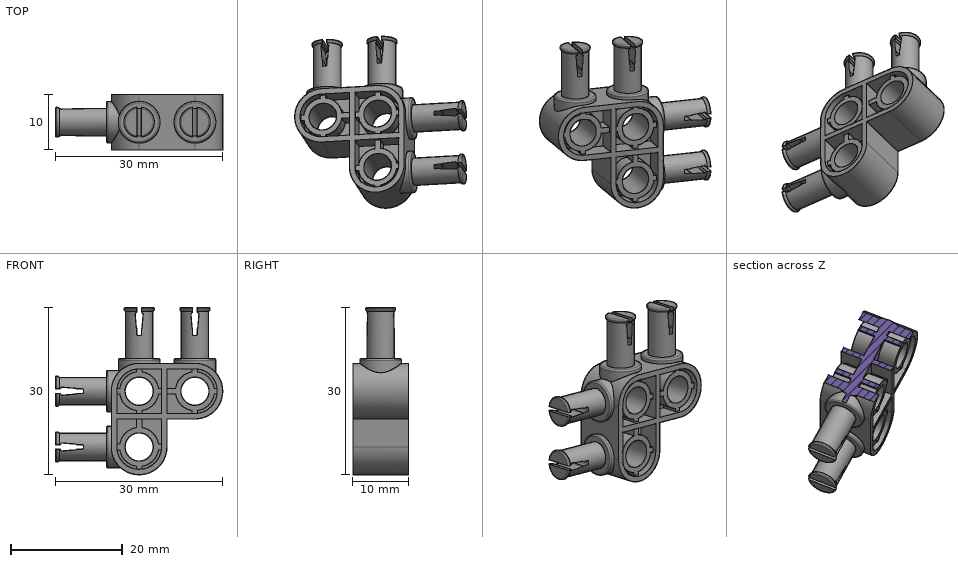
import cadquery as cq

pitch = 10.0
body_depth = 10.0
body_radius = pitch / 2
wall = 1.0
web_thickness = 2.0

hole_diameter = 5.0
sleeve_diameter = 7.0
sleeve_recess = 0.8
rib_width = 1.0

pin_reach = 15.0
pin_diameter = 4.95
collar_diameter = 7.5
collar_height = 0.85
collar_root = 2.0
collar_round = 0.3
lip_diameter = 5.45
lip_top_round = 0.25
lip_lower_round = 0.5

slot_width = 0.8
slot_throat_width = 1.4
slot_taper_width = 1.0
slot_depth = 5.0
slot_mouth_depth = 0.8
slot_throat_depth = 1.1
slot_taper_depth = 3.6
slot_end_depth = 3.85
slot_bottom_round = 0.2

hole_centers = [(0, 0), (pitch, 0), (0, -pitch)]

outlines = cq.Workplane("XZ")


def corner_outline(radius):
    """Square cell with its upper left corner rounded about the hole centre."""
    return (
        outlines.moveTo(-radius, 0)
        .radiusArc((0, radius), radius)
        .lineTo(radius, radius)
        .lineTo(radius, -radius)
        .lineTo(-radius, -radius)
        .close()
    )


def right_end_outline(radius):
    """Cell that starts at the corner block and ends in a half round about the right hole."""
    return (
        outlines.moveTo(body_radius, radius)
        .lineTo(pitch, radius)
        .radiusArc((pitch, -radius), radius)
        .lineTo(body_radius, -radius)
        .close()
    )


def turn_to_lower(solid):
    """Quarter turn about the Y axis, which turns the right end cell into the lower end cell."""
    return solid.rotate((0, 0, 0), (0, 1, 0), 90)


def make_cells(radius, depth):
    """Three prisms centred on y = 0: corner, right end and lower end."""
    corner = corner_outline(radius).extrude(depth / 2, both=True)
    right_end = right_end_outline(radius).extrude(depth / 2, both=True)
    return [corner, right_end, turn_to_lower(right_end)]


def make_plain_pin():
    """Pin along +Z with its collar and lip, without the slot."""
    collar_top = body_radius + collar_height
    collar = (
        cq.Workplane().workplane(offset=collar_root)
        .circle(collar_diameter / 2).extrude(collar_top - collar_root)
        .faces(">Z").edges().fillet(collar_round)
    )
    shank = (
        cq.Workplane().workplane(offset=collar_top)
        .circle(pin_diameter / 2).extrude(pin_reach - collar_top)
    )
    lip_radius = lip_diameter / 2
    lip_widest = pin_reach - lip_top_round
    lip_bottom = lip_widest - lip_lower_round
    lip = (
        outlines.moveTo(0, pin_reach)
        .lineTo(lip_radius - lip_top_round, pin_reach)
        .radiusArc((lip_radius, lip_widest), lip_top_round)
        .radiusArc((lip_radius - lip_lower_round, lip_bottom), lip_lower_round)
        .lineTo(0, lip_bottom)
        .close()
        .revolve(360, (0, 0), (0, 1))
    )
    return collar.union(shank).union(lip)


def make_slot():
    """Slot cutter running along Y through the end of the pin."""
    narrow = slot_width / 2
    wide = slot_throat_width / 2
    taper_half = slot_taper_width / 2
    mouth_end = pin_reach - slot_mouth_depth
    throat_start = pin_reach - slot_throat_depth
    taper_end = pin_reach - slot_taper_depth
    end_start = pin_reach - slot_end_depth
    bottom = pin_reach - slot_depth
    slot = (
        outlines.moveTo(narrow, pin_reach)
        .lineTo(narrow, mouth_end)
        .lineTo(wide, throat_start)
        .lineTo(taper_half, taper_end)
        .lineTo(narrow, end_start)
        .lineTo(narrow, bottom)
        .lineTo(-narrow, bottom)
        .lineTo(-narrow, end_start)
        .lineTo(-taper_half, taper_end)
        .lineTo(-wide, throat_start)
        .lineTo(-narrow, mouth_end)
        .lineTo(-narrow, pin_reach)
        .close()
        .extrude(lip_diameter, both=True)
    )
    return slot.faces("<Z").edges("|Y").fillet(slot_bottom_round)


def make_pins():
    """Two pins pointing to +Z and two pointing to -X."""
    pin = make_plain_pin().cut(make_slot())
    side_pin = pin.rotate((0, 0, 0), (0, 1, 0), -90)
    return [
        pin,
        pin.translate((pitch, 0, 0)),
        side_pin,
        side_pin.translate((0, 0, -pitch)),
    ]


def make_sleeves(spaces):
    """Sleeves with four ribs each and a middle web, trimmed to the space inside the walls."""
    sleeve_depth = body_depth - 2 * sleeve_recess
    filling = None
    for space, (x, z) in zip(spaces, hole_centers):
        at_hole = outlines.center(x, z)
        sleeve = at_hole.circle(sleeve_diameter / 2).extrude(sleeve_depth / 2, both=True)
        for size in [(2 * pitch, rib_width), (rib_width, 2 * pitch)]:
            sleeve = sleeve.union(at_hole.rect(*size).extrude(sleeve_depth / 2, both=True))
        web = at_hole.rect(2 * pitch, 2 * pitch).extrude(web_thickness / 2, both=True)
        trimmed = sleeve.union(web).intersect(space)
        filling = trimmed if filling is None else filling.union(trimmed)
    return filling


def make_part():
    pocket_radius = body_radius - wall
    blocks = make_cells(body_radius, body_depth)
    spaces = make_cells(pocket_radius, body_depth)
    part = blocks[0].union(blocks[1]).union(blocks[2])
    for pin in make_pins():
        part = part.union(pin)
    for space in spaces:
        part = part.cut(space)
    part = part.union(make_sleeves(spaces))
    holes = outlines.pushPoints(hole_centers).circle(hole_diameter / 2).extrude(body_depth, both=True)
    return part.cut(holes)


result = make_part()